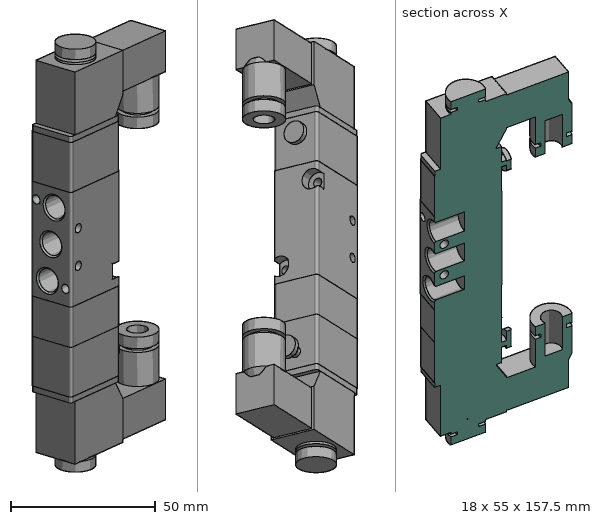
import cadquery as cq

BODY_WIDTH = 18.0
BODY_DEPTH = 27.0
BODY_HALF_LENGTH = 49.6
BODY_EDGE_RADIUS = 1.0
PLATE_THICKNESS = 2.2
PLATE_INSET = 0.2
COVER_INSET = 0.1
SPACER_INSET = 0.08

PORT_CENTER_Z = 7.5
PORT_SECTION_LENGTH = 42.7
PORT_PITCH = 14.0
PORT_SHIFT_X = 1.5
PORT_DIAMETER = 8.57
PORT_MOUTH_DIAMETER = 9.8
PORT_CHAMFER = (PORT_MOUTH_DIAMETER - PORT_DIAMETER) / 2
PORT_DEPTH = 12.0

MOUNT_DIAMETER = 3.3
MOUNT_OFFSET_X = 6.5
MOUNT_OFFSET_Z = 15.0
COUNTERBORE_DIAMETER = 7.5
COUNTERBORE_DEPTH = 4.2
SIDE_HOLE_Y = 4.0

BLOCK_WIDTH = 17.5
BLOCK_FRONT_Y = 2.5
BLOCK_BACK_Y = 28.8
BLOCK_END_Z = 73.0
BLOCK_TAPER_TOP_Z = 56.7
BLOCK_TAPER_FOOT_Y = 24.7

ARM_WIDTH = 15.6
ARM_BACK_Y = 53.4
ARM_INNER_Z = 57.2
ARM_OUTER_Z = 72.4

FITTING_DIAMETER = 15.0
FITTING_NECK_DIAMETER = 10.8
FITTING_BORE_DIAMETER = 7.5
FITTING_BORE_DEPTH = 15.0
FITTING_BACK_Y = 55.0
FITTING_Y = FITTING_BACK_Y - FITTING_DIAMETER / 2
FITTING_END_Z = 38.8
FITTING_NECK_BOTTOM_Z = 43.1
FITTING_NECK_TOP_Z = 44.5
FITTING_SHOULDER_RISE = 2.6
FITTING_SHOULDER_INSET = 1.4

CAP_Y = BODY_DEPTH / 2
CAP_DIAMETER = 14.2
CAP_NECK_DIAMETER = 9.2
CAP_END_Z = 78.75
CAP_THICKNESS = 3.9
CAP_NECK_LENGTH = 1.0

KNOB_STEM_DIAMETER = 4.0
KNOB_STEM_Z = 41.3
KNOB_HEAD_DIAMETER = 8.0
KNOB_HEAD_X = -1.7
KNOB_HEAD_Z = 39.9
KNOB_HEAD_BASE_Y = 28.7
KNOB_HEAD_TOP_Y = 30.7


def upright_cylinder(y, diameter, bottom_z, top_z):
    """Cylinder parallel to Z on the middle plane of the part."""
    return cq.Workplane("XY", origin=(0, y, bottom_z)).circle(diameter / 2).extrude(top_z - bottom_z)


def depth_cylinder(x, z, diameter, front_y, back_y):
    """Cylinder parallel to Y."""
    return cq.Workplane("XZ", origin=(x, front_y, z)).circle(diameter / 2).extrude(front_y - back_y)


def make_section(bottom_z, top_z, inset):
    """Rounded length of the body, set back on all four sides by the inset."""
    section = cq.Workplane("XY").box(BODY_WIDTH - 2 * inset, BODY_DEPTH - 2 * inset, top_z - bottom_z)
    section = section.edges("|Z").fillet(BODY_EDGE_RADIUS)
    return section.translate((0, BODY_DEPTH / 2, (bottom_z + top_z) / 2))


def make_body():
    """Port section with a cover and an end plate above; a spacer, a cover and an end plate below."""
    plate_z = BODY_HALF_LENGTH - PLATE_THICKNESS
    port_top_z = PORT_CENTER_Z + PORT_SECTION_LENGTH / 2
    port_bottom_z = PORT_CENTER_Z - PORT_SECTION_LENGTH / 2
    body = make_section(port_bottom_z, port_top_z, 0)
    body = body.union(make_section(port_top_z, plate_z, COVER_INSET))
    body = body.union(make_section(plate_z, BODY_HALF_LENGTH, PLATE_INSET))
    body = body.union(make_section(-port_top_z, port_bottom_z, SPACER_INSET))
    body = body.union(make_section(-plate_z, -port_top_z, COVER_INSET))
    return body.union(make_section(-BODY_HALF_LENGTH, -plate_z, PLATE_INSET))


def make_port(row):
    """Blind port with a chamfered mouth; row is -1, 0 or 1 along the port line."""
    x = row * PORT_SHIFT_X
    z = PORT_CENTER_Z + row * PORT_PITCH
    profile = [
        (0, 0),
        (PORT_MOUTH_DIAMETER / 2, 0),
        (PORT_DIAMETER / 2, PORT_CHAMFER),
        (PORT_DIAMETER / 2, PORT_DEPTH),
        (0, PORT_DEPTH),
    ]
    port = cq.Workplane("XY").polyline(profile).close().revolve(360, (0, 0, 0), (0, 1, 0))
    return port.translate((x, 0, z))


def make_mounting_hole(side):
    """Hole through the depth, counterbored from the back so that it breaks the side face."""
    x = -side * MOUNT_OFFSET_X
    z = PORT_CENTER_Z + side * MOUNT_OFFSET_Z
    hole = depth_cylinder(x, z, MOUNT_DIAMETER, 0, BODY_DEPTH)
    counterbore = depth_cylinder(x, z, COUNTERBORE_DIAMETER, BODY_DEPTH - COUNTERBORE_DEPTH, BODY_DEPTH)
    return hole.union(counterbore)


def make_side_hole(side):
    """Hole through the width, midway between two ports."""
    z = PORT_CENTER_Z + side * PORT_PITCH / 2
    start = cq.Workplane("YZ", origin=(-BODY_WIDTH / 2, SIDE_HOLE_Y, z))
    return start.circle(MOUNT_DIAMETER / 2).extrude(BODY_WIDTH)


def make_block():
    outline = [
        (BLOCK_FRONT_Y, BODY_HALF_LENGTH),
        (BLOCK_TAPER_FOOT_Y, BODY_HALF_LENGTH),
        (BLOCK_BACK_Y, BLOCK_TAPER_TOP_Z),
        (BLOCK_BACK_Y, BLOCK_END_Z),
        (BLOCK_FRONT_Y, BLOCK_END_Z),
    ]
    return cq.Workplane("YZ").polyline(outline).close().extrude(BLOCK_WIDTH / 2, both=True)


def make_arm():
    length = ARM_BACK_Y - BLOCK_BACK_Y
    height = ARM_OUTER_Z - ARM_INNER_Z
    arm = cq.Workplane("XY").box(ARM_WIDTH, length, height)
    return arm.translate((0, BLOCK_BACK_Y + length / 2, ARM_INNER_Z + height / 2))


def make_fitting():
    """Grooved fitting whose conical shoulder sinks into the arm and shows slightly behind it."""
    shoulder_top = ARM_INNER_Z + FITTING_SHOULDER_RISE
    barrel = upright_cylinder(FITTING_Y, FITTING_DIAMETER, FITTING_NECK_TOP_Z, shoulder_top)
    barrel = barrel.faces(">Z").chamfer(FITTING_SHOULDER_RISE, FITTING_SHOULDER_INSET)
    neck = upright_cylinder(FITTING_Y, FITTING_NECK_DIAMETER, FITTING_NECK_BOTTOM_Z, FITTING_NECK_TOP_Z)
    collar = upright_cylinder(FITTING_Y, FITTING_DIAMETER, FITTING_END_Z, FITTING_NECK_BOTTOM_Z)
    return barrel.union(neck).union(collar)


def make_fitting_bore():
    return upright_cylinder(
        FITTING_Y, FITTING_BORE_DIAMETER, FITTING_END_Z, FITTING_END_Z + FITTING_BORE_DEPTH
    )


def make_cap():
    """Round cap: a thin flange on the block, a neck and a disc."""
    disc_base = CAP_END_Z - CAP_THICKNESS
    flange_top = disc_base - CAP_NECK_LENGTH
    flange = upright_cylinder(CAP_Y, CAP_DIAMETER, BLOCK_END_Z, flange_top)
    neck = upright_cylinder(CAP_Y, CAP_NECK_DIAMETER, flange_top, disc_base)
    disc = upright_cylinder(CAP_Y, CAP_DIAMETER, disc_base, CAP_END_Z)
    return flange.union(neck).union(disc)


def make_knob():
    """Stem with an off-centre round head."""
    stem_root_y = BODY_DEPTH - COVER_INSET
    stem = depth_cylinder(0, KNOB_STEM_Z, KNOB_STEM_DIAMETER, stem_root_y, KNOB_HEAD_BASE_Y)
    head = depth_cylinder(KNOB_HEAD_X, KNOB_HEAD_Z, KNOB_HEAD_DIAMETER, KNOB_HEAD_BASE_Y, KNOB_HEAD_TOP_Y)
    return stem.union(head)


def make_head():
    """Solenoid block with its arm, cable fitting and cap."""
    head = make_block().union(make_arm()).union(make_fitting()).union(make_cap())
    return head.cut(make_fitting_bore())


def make_valve():
    valve = make_body()
    for row in (-1, 0, 1):
        valve = valve.cut(make_port(row))
    for side in (-1, 1):
        valve = valve.cut(make_mounting_hole(side))
        valve = valve.cut(make_side_hole(side))
    for angle in (0, 180):
        turn = ((0, 0, 0), (0, 1, 0), angle)
        valve = valve.union(make_head().rotate(*turn))
        valve = valve.union(make_knob().rotate(*turn))
    return valve


result = make_valve().solids()